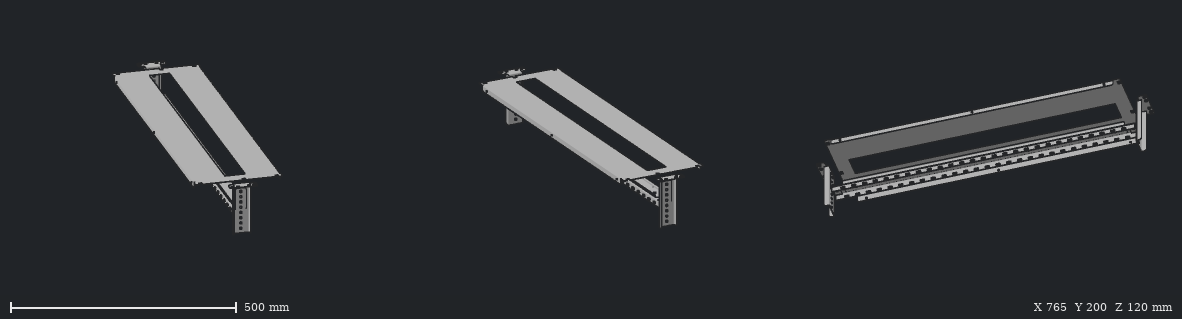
import cadquery as cq

overall_length = 765.0
overall_height = 120.0
top_z = overall_height / 2

thin_sheet = 1.5
thick_sheet = 2.0
bend_radius = 3.0

slot_count = 27
slot_span = 650.0
slot_pitch = slot_span / (slot_count - 1)
hole_pitch = slot_pitch / 2

panel_length = 685.0
panel_width = 200.0
panel_corner_radius = 3.0
panel_bend_radius = 2.0
lip_length = 653.0
lip_height = 15.0
lip_corner_chamfer = 3.0
lip_hole_diameter = 4.0
lip_hole_count = 3
lip_hole_spacing = 306.0
lip_hole_drop = 8.5
window_length = 616.5
window_width = 47.0
notch_depth = 8.5
notch_width = 7.0
notch_ys = (-7 * hole_pitch, hole_pitch, 7 * hole_pitch)

web_inner_x = 355.0
post_width = 40.0
post_depth = 13.0
post_foot_radius = 6.0
post_hole_count = 8
post_hole_diameter = 5.0
top_hole_z = 38.0
ear_width = 63.5
ear_length = 21.0
ear_inner_radius = 7.0
ear_outer_radius = 3.0
ear_hole_diameter = 7.0
ear_hole_steps = (-2, -1, 1, 2)
ear_hole_inset = 6.0

rail_end_gap = 1.8
rail_length = 2 * (web_inner_x - thick_sheet - rail_end_gap)
rail_width = 31.0
rail_height = 17.0
rail_top_z = -1.15
slot_length = 10.0
slot_width = 4.5
slot_z = -12.0

plate_width = rail_width - 2 * bend_radius
plate_top_z = 46.0
plate_corner_radius = 4.0
plate_hole_diameter = 6.0
plate_hole_steps = (0, 2)
foot_top_z = rail_top_z - thick_sheet
foot_bottom_z = foot_top_z - thick_sheet
foot_length = 20.0
foot_hole_x = 343.5
foot_hole_diameter = 5.0

hat_length = 653.0
hat_width = 35.0
hat_crown_width = 27.0
hat_height = 8.0
hat_sheet = 1.0
hat_inner_radius = 1.5
hat_outer_radius = hat_inner_radius + hat_sheet
hat_hole_count = 4
hat_hole_pitch = 200.0
hat_hole_diameter = 6.0


def box(x_range, y_range, z_range):
    """Box between the given (low, high) limits."""
    lows, highs = zip(x_range, y_range, z_range)
    sizes = [high - low for low, high in zip(lows, highs)]
    return cq.Workplane("XY").box(*sizes, centered=False).translate(lows)


def centered(size):
    """Limits of a span of the given size about zero."""
    return (-size / 2, size / 2)


def centered_steps(count, pitch):
    """Positions of equally spaced items about zero."""
    return [(step - (count - 1) / 2) * pitch for step in range(count)]


def drills_along_z(points, diameter):
    """Drills through the full height at (x, y) points."""
    drills = cq.Workplane("XY").pushPoints(points).circle(diameter / 2)
    return drills.extrude(overall_height, both=True)


def left_web_drills(steps, diameter):
    """Drills along X on the left side, at grid steps below the top post hole."""
    points = [(0, top_hole_z - step * hole_pitch) for step in steps]
    return cq.Workplane("YZ").pushPoints(points).circle(diameter / 2).extrude(-overall_length)


def hat_rail_drills():
    """Screw holes shared by the top-hat rail and the support rail under it."""
    points = [(x, 0) for x in centered_steps(hat_hole_count, hat_hole_pitch)]
    return drills_along_z(points, hat_hole_diameter)


def folded_channel(length, width, height, sheet, outer_radius):
    """Channel along X with its web on top, its top face at Z = 0 and rounded folds."""
    outer = box(centered(length), centered(width), (-height, 0))
    outer = outer.edges("|X and >Z").fillet(outer_radius)
    inner = box(centered(2 * length), centered(width - 2 * sheet), (-2 * height, -sheet))
    inner = inner.edges("|X and >Z").fillet(outer_radius - sheet)
    return outer.cut(inner)


def make_panel():
    """Flat panel with a lip along both long edges, a window and open notches at the ends."""
    lips = folded_channel(lip_length, panel_width, lip_height, thin_sheet, panel_bend_radius)
    lips = lips.translate((0, 0, top_z)).edges("|Y and <Z").chamfer(lip_corner_chamfer)
    plate = box(centered(panel_length), centered(panel_width), (top_z - thin_sheet, top_z))
    plate = plate.edges("|Z").fillet(panel_corner_radius)
    folded_stretch = box(centered(lip_length), centered(2 * panel_width), (0, 2 * top_z))
    panel = plate.cut(folded_stretch).union(lips)

    lip_holes = (
        cq.Workplane("XZ")
        .pushPoints([(x, top_z - lip_hole_drop) for x in centered_steps(lip_hole_count, lip_hole_spacing)])
        .circle(lip_hole_diameter / 2)
        .extrude(panel_width, both=True)
    )
    window = cq.Workplane("XY").rect(window_length, window_width).extrude(overall_height)
    notches = (
        cq.Workplane("XY")
        .pushPoints([(x, y) for x in centered(panel_length) for y in notch_ys])
        .rect(2 * notch_depth, notch_width)
        .extrude(overall_height)
    )
    return panel.cut(lip_holes).cut(window).cut(notches)


def make_left_post():
    """Post opening towards -X, its top flange widened into two ears."""
    open_x = -web_inner_x - post_depth
    body = box((open_x, -web_inner_x), centered(post_width), (-top_z, top_z))
    body = body.faces(">X").edges("not <Z").fillet(bend_radius)
    body = body.edges("|Y and <X and <Z").fillet(post_foot_radius)
    hollow = box(
        (-overall_length, -web_inner_x - thin_sheet),
        centered(post_width - 2 * thin_sheet),
        (-overall_height, top_z - thin_sheet),
    )
    hollow = hollow.faces(">X").edges("not <Z").fillet(bend_radius - thin_sheet)

    tip_x = -overall_length / 2
    ears = box((tip_x, tip_x + ear_length), centered(ear_width), (top_z - thin_sheet, top_z))
    ears = ears.edges("|Z and >X").fillet(ear_inner_radius)
    ears = ears.edges("|Z and <X").fillet(ear_outer_radius)

    ear_hole_points = [(tip_x + ear_hole_inset, step * hole_pitch) for step in ear_hole_steps]
    ear_holes = drills_along_z(ear_hole_points, ear_hole_diameter)
    web_holes = left_web_drills(range(post_hole_count), post_hole_diameter)
    return body.cut(hollow).union(ears).cut(ear_holes).cut(web_holes)


def make_left_plate():
    """Angle plate against the post web, its foot under the support rail."""
    back_x = -web_inner_x
    plate = box((back_x, back_x + foot_length), centered(plate_width), (foot_bottom_z, plate_top_z))
    plate = plate.edges("|Y and <X and <Z").fillet(bend_radius)
    clearance = box((back_x + thick_sheet, 0), centered(2 * plate_width), (foot_top_z, overall_height))
    clearance = clearance.edges("|Y and <X and <Z").fillet(bend_radius - thick_sheet)
    plate = plate.cut(clearance).edges("|X and >Z").fillet(plate_corner_radius)

    screw_holes = left_web_drills(plate_hole_steps, plate_hole_diameter)
    foot_hole = drills_along_z([(-foot_hole_x, 0)], foot_hole_diameter)
    return plate.cut(screw_holes).cut(foot_hole)


def make_support_rail():
    """Channel with a row of slots through both flanges."""
    rail = folded_channel(rail_length, rail_width, rail_height, thick_sheet, bend_radius)
    rail = rail.translate((0, 0, rail_top_z))
    slots = (
        cq.Workplane("XZ")
        .pushPoints([(x, slot_z) for x in centered_steps(slot_count, slot_pitch)])
        .slot2D(slot_length, slot_width)
        .extrude(rail_width, both=True)
    )
    foot_holes = drills_along_z([(-foot_hole_x, 0), (foot_hole_x, 0)], foot_hole_diameter)
    return rail.cut(slots).cut(foot_holes).cut(hat_rail_drills())


def make_hat_rail():
    """Top-hat rail lying on the support rail, its brims on top."""
    brim_z = hat_height - hat_sheet
    trough_width = hat_crown_width - 2 * hat_sheet
    crown = box(centered(hat_length), centered(hat_crown_width), (0, hat_height))
    crown = crown.edges("|X and <Z").fillet(hat_outer_radius)
    brims = box(centered(hat_length), centered(hat_width), (brim_z, hat_height))
    trough = box(centered(2 * hat_length), centered(trough_width), (hat_sheet, 2 * hat_height))
    trough = trough.edges("|X and <Z").fillet(hat_inner_radius)
    hat = crown.union(brims).cut(trough)
    for y in centered(trough_width):
        mouth_edge = cq.selectors.NearestToPointSelector((0, y, hat_height))
        hat = hat.edges(mouth_edge).fillet(hat_outer_radius)
    for y in centered(hat_crown_width):
        brim_root_edge = cq.selectors.NearestToPointSelector((0, y, brim_z))
        hat = hat.edges(brim_root_edge).fillet(hat_inner_radius)
    return hat.translate((0, 0, rail_top_z)).cut(hat_rail_drills())


panel = make_panel()
support_rail = make_support_rail()
hat_rail = make_hat_rail()

side_bodies = []
for make_left_body in (make_left_post, make_left_plate):
    left_body = make_left_body()
    side_bodies += [left_body.val(), left_body.mirror("YZ").val()]

result = cq.Compound.makeCompound([panel.val(), support_rail.val(), hat_rail.val(), *side_bodies])